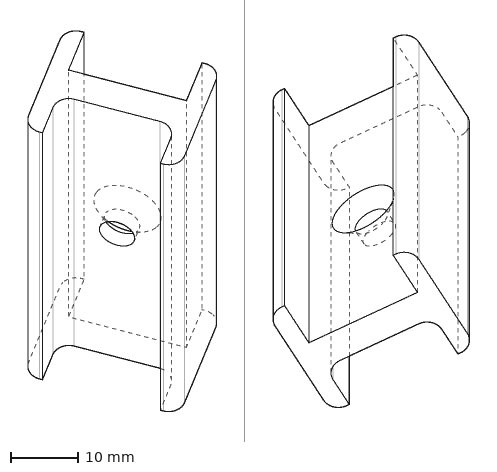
import cadquery as cq
import math

width = 24.5
depth = 20.0
length = 60.0

flange_thickness = 3.0
web_thickness = 5.0
corner_radius = 2.5
fillet_radius = 2.5
hole_diameter = 5.5
sink_depth = 2.5
sink_angle = 90.0

channel_width = width - 2 * flange_thickness
channel_depth = (depth - web_thickness) / 2


def channel(side):
    """Full-length cutter for the channel on the front (-1) or back (+1) side."""
    center_y = side * (web_thickness + channel_depth) / 2
    return (
        cq.Workplane("XY")
        .center(0, center_y)
        .rect(channel_width, channel_depth)
        .extrude(length)
    )


bar = (
    cq.Workplane("XY")
    .rect(width, depth)
    .extrude(length)
    .edges("|Z")
    .fillet(corner_radius)
)

front_channel = channel(-1).edges("|Z and >Y").fillet(fillet_radius)
back_channel = channel(1)

hole_radius = hole_diameter / 2
sink_radius = hole_radius + sink_depth * math.tan(math.radians(sink_angle / 2))
web_front = -web_thickness / 2
web_back = web_thickness / 2

hole = (
    cq.Workplane("XY", origin=(0, 0, length / 2))
    .moveTo(0, web_front)
    .lineTo(hole_radius, web_front)
    .lineTo(hole_radius, web_back - sink_depth)
    .lineTo(sink_radius, web_back)
    .lineTo(0, web_back)
    .close()
    .revolve(360, (0, 0, 0), (0, 1, 0))
)

result = bar.cut(front_channel).cut(back_channel).cut(hole)